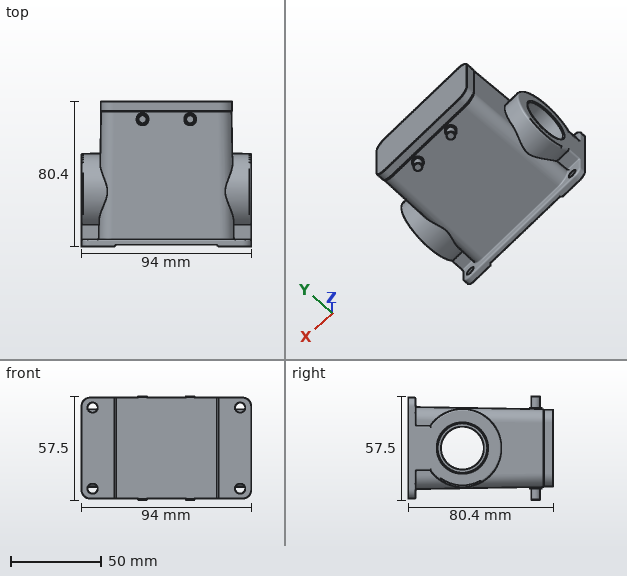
import cadquery as cq

length = 94.0
depth = 80.4
height_over_pins = 57.5

plate_height = 56.0
plate_thickness = 4.1
plate_corner_radius = 5.0
edge_round = 1.0
relief_width = 57.7
relief_depth = 1.0
screw_hole_diameter = 5.5
screw_spacing_x = 81.6
screw_spacing_z = 44.7

body_base_width = 74.9
body_base_height = 45.7
body_corner_radius = 7.5
draft_angle = 1.0
body_bevel = 0.6
root_fillet = 0.75

rim_width = 72.7
rim_height = 42.7
rim_depth = 5.2
rim_corner_radius = 7.0
seal_edge_chamfer = 0.3

boss_radius = 21.6
boss_axis_y = 30.0
neck_height = 24.6
bore_diameter = 27.3
bore_depth = 13.9
bore_chamfer = 0.7
through_diameter = 23.6

pin_spacing = 26.3
pin_axis_y = 70.5
pin_diameter = 5.1
pin_tip_chamfer = 0.4
collar_diameter = 6.8
collar_span = 44.8


def xz_plane(y):
    """Sketch plane at height y, extruding towards +Y, with local x along -X and local y along Z."""
    return cq.Workplane(cq.Plane(origin=(0, y, 0), xDir=(-1, 0, 0), normal=(0, 1, 0)))


def make_plate():
    plate = xz_plane(0).rect(length, plate_height).extrude(plate_thickness)
    return plate.edges("|Y").fillet(plate_corner_radius)


def make_bosses():
    """Round boss and the flat neck joining it to the plate, across the full length."""
    boss = cq.Workplane("YZ", origin=(-length / 2, boss_axis_y, 0)).circle(boss_radius).extrude(length)
    neck = cq.Workplane("XY").box(length, boss_axis_y, neck_height, centered=(True, False, True))
    return boss.union(neck)


def make_base():
    """Plate and bosses in one piece, with blended neck roots and rounded outer edges."""
    base = make_plate().union(make_bosses())
    for side in (-1, 1):
        neck_root = cq.selectors.NearestToPointSelector((0, plate_thickness, side * neck_height / 2))
        base = base.edges(neck_root).fillet(root_fillet)
    above_mounting_face = cq.selectors.BoxSelector(
        (-length, plate_thickness - root_fillet, -length), (length, depth, length)
    )
    return base.edges(above_mounting_face).edges("not |X").fillet(edge_round)


def make_body():
    """Drafted box with side corners of constant radius, a bevelled +Y edge and a blended root."""
    body = xz_plane(0).rect(body_base_width, body_base_height).extrude(depth - rim_depth, taper=draft_angle)
    body = body.edges("not #Y").fillet(body_corner_radius)
    body = body.faces(">Y").edges().chamfer(body_bevel)
    foot_margin = 2 * root_fillet
    foot = xz_plane(0).rect(body_base_width + 2 * foot_margin, body_base_height + 2 * foot_margin)
    foot = foot.extrude(plate_thickness)
    body_root = cq.selectors.BoxSelector(
        (-body_base_width / 2, plate_thickness - root_fillet, -body_base_height / 2),
        (body_base_width / 2, plate_thickness + root_fillet, body_base_height / 2),
    )
    return foot.union(body).edges(body_root).fillet(root_fillet)


def make_rim():
    rim = xz_plane(depth - rim_depth).rect(rim_width, rim_height).extrude(rim_depth)
    rim = rim.edges("|Y").fillet(rim_corner_radius)
    return rim.faces(">Y").edges().chamfer(seal_edge_chamfer)


def make_pins():
    """Pins on the top and bottom walls, each standing on a flat collar."""
    places = [(-pin_spacing / 2, pin_axis_y), (pin_spacing / 2, pin_axis_y)]
    base = cq.Workplane("XY", origin=(0, 0, -height_over_pins / 2)).pushPoints(places)
    pins = base.circle(pin_diameter / 2).extrude(height_over_pins)
    pins = pins.faces("<Z or >Z").edges().chamfer(pin_tip_chamfer)
    collars = cq.Workplane("XY", origin=(0, 0, -collar_span / 2)).pushPoints(places)
    return pins.union(collars.circle(collar_diameter / 2).extrude(collar_span))


def make_cable_passage():
    """Round passage along X, widened at both ends with a chamfered mouth."""
    mouth_x = length / 2
    ledge_x = mouth_x - bore_depth
    narrow_y = boss_axis_y + through_diameter / 2
    wide_y = boss_axis_y + bore_diameter / 2
    half_profile = (
        cq.Workplane("XY")
        .moveTo(0, boss_axis_y)
        .lineTo(0, narrow_y)
        .lineTo(ledge_x, narrow_y)
        .lineTo(ledge_x, wide_y)
        .lineTo(mouth_x - bore_chamfer, wide_y)
        .lineTo(mouth_x, wide_y + bore_chamfer)
        .lineTo(mouth_x, boss_axis_y)
        .close()
    )
    half = half_profile.revolve(360, (0, boss_axis_y, 0), (1, boss_axis_y, 0))
    return half.union(half.mirror("YZ"))


def make_screw_holes():
    holes = xz_plane(0).rect(screw_spacing_x, screw_spacing_z, forConstruction=True).vertices()
    return holes.circle(screw_hole_diameter / 2).extrude(plate_thickness)


def make_relief():
    """Shallow channel with sloped sides across the mounting face."""
    half = relief_width / 2
    profile = cq.Workplane("XY", origin=(0, 0, -plate_height / 2))
    profile = profile.moveTo(-half, 0).lineTo(half, 0).lineTo(half - relief_depth, relief_depth)
    return profile.lineTo(-half + relief_depth, relief_depth).close().extrude(plate_height)


result = make_base().union(make_body())
result = result.union(make_rim()).union(make_pins())
result = result.cut(make_cable_passage()).cut(make_screw_holes()).cut(make_relief())